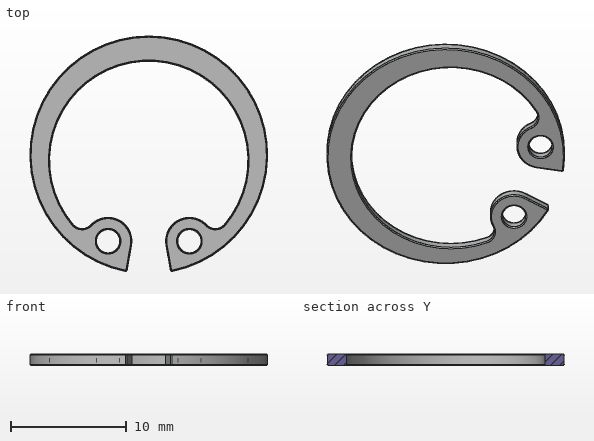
import cadquery as cq
import math

outer_radius = 10.25
inner_radius = 8.55
inner_offset = 0.47
thickness = 1.0
edge_chamfer = 0.1
tip_chamfer = 0.1

lug_x = 3.5
lug_y = -7.45
lug_radius = 2.05
hole_diameter = 2.0
root_fillet = 1.02
end_tilt = math.radians(10)


def point_toward(start, target, distance):
    """Point at the given distance from start along the line to target."""
    dx = target[0] - start[0]
    dy = target[1] - start[1]
    ratio = distance / math.hypot(dx, dy)
    return (start[0] + dx * ratio, start[1] + dy * ratio)


def mirrored(point):
    return (-point[0], point[1])


bore_center = (0, -inner_offset)
lug_center = (lug_x, lug_y)

bore_to_fillet = inner_radius - root_fillet
lug_to_fillet = lug_radius + root_fillet
bore_to_lug = math.hypot(lug_x, lug_y + inner_offset)
cos_angle = (bore_to_fillet**2 + bore_to_lug**2 - lug_to_fillet**2) / (2 * bore_to_fillet * bore_to_lug)
fillet_direction = math.atan2(lug_y + inner_offset, lug_x) + math.acos(cos_angle)
fillet_center = (
    bore_to_fillet * math.cos(fillet_direction),
    bore_to_fillet * math.sin(fillet_direction) - inner_offset,
)
bore_end = point_toward(bore_center, fillet_center, inner_radius)
lug_start = point_toward(lug_center, fillet_center, lug_radius)

end_start = (lug_x - lug_radius * math.cos(end_tilt), lug_y - lug_radius * math.sin(end_tilt))
end_slope_x = math.sin(end_tilt)
end_slope_y = -math.cos(end_tilt)
along = end_start[0] * end_slope_x + end_start[1] * end_slope_y
end_length = -along + math.sqrt(along**2 + outer_radius**2 - math.hypot(*end_start)**2)
tip = (end_start[0] + end_length * end_slope_x, end_start[1] + end_length * end_slope_y)

fillet_mid = point_toward(
    fillet_center,
    ((bore_end[0] + lug_start[0]) / 2, (bore_end[1] + lug_start[1]) / 2),
    root_fillet,
)
lug_start_angle = math.atan2(lug_start[1] - lug_y, lug_start[0] - lug_x)
lug_mid_angle = (lug_start_angle + math.pi + end_tilt) / 2
lug_mid = (lug_x + lug_radius * math.cos(lug_mid_angle), lug_y + lug_radius * math.sin(lug_mid_angle))

ring = (
    cq.Workplane("XY")
    .moveTo(*tip)
    .threePointArc((0, outer_radius), mirrored(tip))
    .lineTo(*mirrored(end_start))
    .threePointArc(mirrored(lug_mid), mirrored(lug_start))
    .threePointArc(mirrored(fillet_mid), mirrored(bore_end))
    .threePointArc((0, inner_radius - inner_offset), bore_end)
    .threePointArc(fillet_mid, lug_start)
    .threePointArc(lug_mid, end_start)
    .close()
    .extrude(thickness)
)

ring = ring.edges("|Z").edges("<Y").chamfer(tip_chamfer)

holes = (
    cq.Workplane("XY")
    .pushPoints([lug_center, mirrored(lug_center)])
    .circle(hole_diameter / 2)
    .extrude(thickness)
)

result = ring.cut(holes).faces("<Z or >Z").edges().chamfer(edge_chamfer)